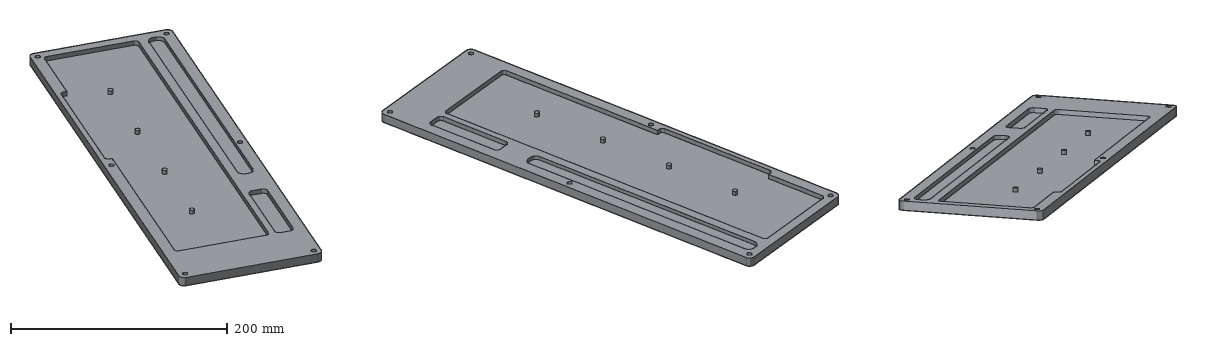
import cadquery as cq

length = 427.5
width = 140.0
thickness = 9.0
corner_radius = 5.0

recess_depth = 4.5
floor_z = thickness - recess_depth
recess_left = 9.5
recess_right = 380.0
upper_recess_back = width - 11.5

slot_right = 269.5
slot_width = 15.5
slot_corner_radius = 6.5
slot_depth = 4.0

short_recess_left = 300.0
short_recess_width = 18.0
short_recess_radius = 4.3

main_front = 11.5
main_back = width - 36.0
main_radius = 3.5
extension_left = 75.0
extension_right = 202.5
extension_front = 5.0

hole_diameter = 4.5
hole_depth = recess_depth
hole_inset = 7.0

pin_diameter = 4.5
pin_height = 4.0
pin_count = 4
pin_pitch = 76.0
first_pin_x = 84.0
pin_y = 51.5


def rectangular_block(left, right, front, back, bottom, height):
    """Block given by its edges in X and Y."""
    return cq.Workplane("XY").box(right - left, back - front, height, centered=False).translate(
        (left, front, bottom)
    )


def make_slot():
    front = upper_recess_back - slot_width
    block = rectangular_block(
        recess_left, slot_right, front, upper_recess_back, thickness - slot_depth, slot_depth
    )
    return block.edges("|Z").fillet(slot_corner_radius)


def make_short_recess():
    front = upper_recess_back - short_recess_width
    block = rectangular_block(
        short_recess_left, recess_right, front, upper_recess_back, floor_z, recess_depth
    )
    return block.edges("|Z").fillet(short_recess_radius)


def make_main_recess():
    """Rounded main area joined to its extension, which meets the front edge at sharp outward corners."""
    main = rectangular_block(
        recess_left, recess_right, main_front, main_back, floor_z, recess_depth
    )
    main = main.edges("|Z").fillet(main_radius)
    extension_back = main_front + main_radius
    extension = rectangular_block(
        extension_left, extension_right, extension_front, extension_back, floor_z, recess_depth
    )
    extension = extension.edges("|Z and <Y").fillet(main_radius)
    return main.union(extension)


def make_plate():
    plate = rectangular_block(0, length, 0, width, 0, thickness).edges("|Z").fillet(corner_radius)
    plate = plate.cut(make_slot()).cut(make_short_recess()).cut(make_main_recess())
    hole_points = [
        (x, y)
        for x in (hole_inset, length / 2, length - hole_inset)
        for y in (hole_inset, width - hole_inset)
    ]
    holes = (
        cq.Workplane("XY", origin=(0, 0, thickness - hole_depth))
        .pushPoints(hole_points)
        .circle(hole_diameter / 2)
        .extrude(hole_depth)
    )
    return plate.cut(holes)


def make_pin(x):
    return cq.Workplane("XY", origin=(x, pin_y, floor_z)).circle(pin_diameter / 2).extrude(pin_height)


plate = make_plate()
pins = [make_pin(first_pin_x + index * pin_pitch) for index in range(pin_count)]

result = cq.Compound.makeCompound([plate.val(), *[pin.val() for pin in pins]])